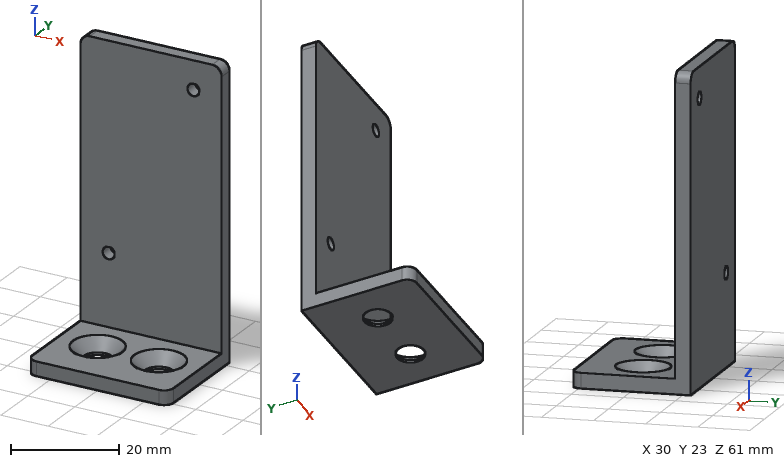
import cadquery as cq

width = 30.0
depth = 23.0
height = 61.0
thickness = 3.0
corner_radius = 2.0

pin_hole_diameter = 2.5
pin_hole_edge_distance = 6.0
pin_hole_vertical_spacing = 37.0

screw_hole_diameter = 5.5
countersink_diameter = 10.4
countersink_angle = 90.0
screw_hole_spacing = 13.0
screw_hole_front_distance = 11.5


def make_upright():
    """Vertical plate with rounded top corners."""
    plate = cq.Workplane("XY").box(width, thickness, height, centered=(True, False, False))
    plate = plate.edges("|Y and >Z").fillet(corner_radius)
    return plate.translate((0, depth - thickness, 0))


def make_foot():
    """Horizontal plate with rounded front corners."""
    plate = cq.Workplane("XY").box(width, depth, thickness, centered=(True, False, False))
    return plate.edges("|Z and <Y").fillet(corner_radius)


def cut_pin_holes(body):
    """Drill the two small holes through the upright, along Y."""
    hole_x = width / 2 - pin_hole_edge_distance
    upper_z = height - pin_hole_edge_distance
    lower_z = upper_z - pin_hole_vertical_spacing
    drills = (
        cq.Workplane("XZ", origin=(0, depth, 0))
        .pushPoints([(hole_x, upper_z), (-hole_x, lower_z)])
        .circle(pin_hole_diameter / 2)
        .extrude(thickness)
    )
    return body.cut(drills)


def cut_screw_holes(body):
    """Drill the screw holes through the foot, countersunk from above."""
    return (
        body.copyWorkplane(cq.Workplane("XY", origin=(0, screw_hole_front_distance, thickness)))
        .pushPoints([(-screw_hole_spacing / 2, 0), (screw_hole_spacing / 2, 0)])
        .cskHole(screw_hole_diameter, countersink_diameter, countersink_angle, depth=thickness)
    )


bracket = make_upright().union(make_foot())
bracket = cut_pin_holes(bracket)
result = cut_screw_holes(bracket)